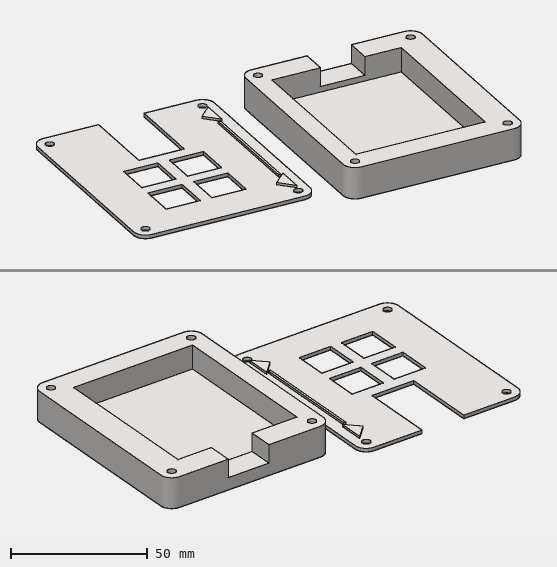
import cadquery as cq

corner_radius = 5.0
hole_diameter = 3.4
hole_inset = 5.0
part_depth = 73.2

overall_width = 93.3
overall_depth = 155.5
housing_width = 85.7
housing_height = 13.0
housing_x = overall_width - housing_width
housing_y = overall_depth - part_depth
left_wall = 10.5
right_wall = 9.6
front_wall = 7.8
back_wall = 11.8
floor_thickness = 3.0
cable_slot_width = 18.4
cable_slot_from_back = 26.9
cable_slot_depth = 7.8

plate_width = 84.6
plate_thickness = 1.5
notch_length = 31.4
notch_width = 18.8
notch_from_back = 26.6
window_size = 14.2
window_pitch = 19.0
windows_x = 36.5
windows_y = 18.8

trim_height = 1.0
triangle_width = 10.9
triangle_depth = triangle_width / 2
triangle_left_x = 8.2
triangle_pitch = 58.3
triangle_from_back = 4.4
bar_x = 19.7
bar_length = 47.3
bar_width = 1.0
bar_from_back = 5.5


def box(x, y, z, width, depth, height):
    """Box with its lowest corner at (x, y, z)."""
    return cq.Workplane("XY").box(width, depth, height, centered=False).translate((x, y, z))


def drilled_slab(x, y, width, height):
    """Slab with rounded vertical corners and a through hole near each corner."""
    slab = box(x, y, 0, width, part_depth, height).edges("|Z").fillet(corner_radius)
    hole_centers = [
        (hole_x, hole_y)
        for hole_x in (x + hole_inset, x + width - hole_inset)
        for hole_y in (y + hole_inset, y + part_depth - hole_inset)
    ]
    holes = cq.Workplane("XY").pushPoints(hole_centers).circle(hole_diameter / 2).extrude(height)
    return slab.cut(holes)


def make_housing():
    """Tray with a deep pocket and a shallower cable slot through its left wall."""
    pocket = box(
        housing_x + left_wall,
        housing_y + front_wall,
        floor_thickness,
        housing_width - left_wall - right_wall,
        part_depth - front_wall - back_wall,
        housing_height - floor_thickness,
    )
    cable_slot = box(
        housing_x,
        overall_depth - cable_slot_from_back - cable_slot_width,
        housing_height - cable_slot_depth,
        left_wall,
        cable_slot_width,
        cable_slot_depth,
    )
    return drilled_slab(housing_x, housing_y, housing_width, housing_height).cut(pocket).cut(cable_slot)


def make_plate():
    """Cover plate with a notch open to the left and a 2 x 2 group of square windows."""
    notch_y = part_depth - notch_from_back - notch_width
    plate = drilled_slab(0, 0, plate_width, plate_thickness)
    plate = plate.cut(box(0, notch_y, 0, notch_length, notch_width, plate_thickness))
    for column in range(2):
        for row in range(2):
            window_x = windows_x + column * window_pitch
            window_y = windows_y + row * window_pitch
            plate = plate.cut(box(window_x, window_y, 0, window_size, window_size, plate_thickness))
    return plate


def make_triangle(left_x):
    """Raised right-angled triangle pointing to the front, its long side toward the back."""
    back_y = part_depth - triangle_from_back
    outline = [
        (left_x, back_y),
        (left_x + triangle_width / 2, back_y - triangle_depth),
        (left_x + triangle_width, back_y),
    ]
    return cq.Workplane("XY", origin=(0, 0, plate_thickness)).polyline(outline).close().extrude(trim_height)


def make_bar():
    """Thin raised bar between the two triangles."""
    bar_y = part_depth - bar_from_back - bar_width
    return box(bar_x, bar_y, plate_thickness, bar_length, bar_width, trim_height)


housing = make_housing()
plate = make_plate()
triangles = [make_triangle(triangle_left_x + index * triangle_pitch) for index in range(2)]
bar = make_bar()

result = cq.Compound.makeCompound(
    [housing.val(), plate.val(), *[triangle.val() for triangle in triangles], bar.val()]
)